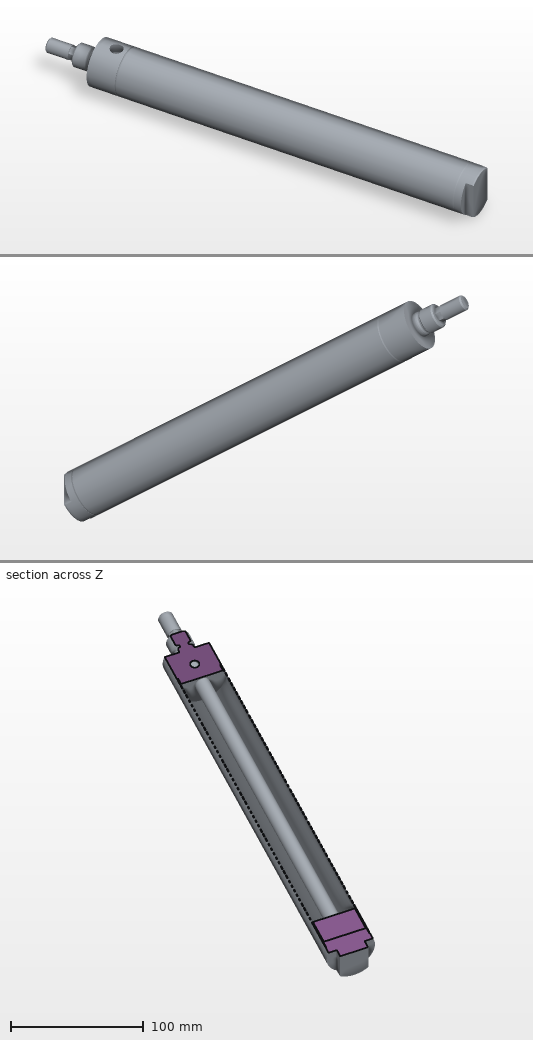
import cadquery as cq
import math

TOTAL_LENGTH = 366.7
BODY_DIAMETER = 39.5
BODY_RADIUS = BODY_DIAMETER / 2

EDGE_TAPER_LENGTH = 1.0
EDGE_TAPER_DEPTH = 0.5

ROD_DIAMETER = 12.0
ROD_EXTENSION = 24.2
ROD_TIP_CHAMFER = 1.0
HEX_SIDES = 6
HEX_ACROSS_FLATS = 10.3
HEX_LENGTH = 4.8
PISTON_LENGTH = 21.5

NOSE_DIAMETER = 19.5
NOSE_CHAMFER = 1.0
NOSE_LENGTH = 11.5
RELIEF_DEPTH = 1.5
RELIEF_WALL_LENGTH = 1.0
RELIEF_FLOOR_LENGTH = 1.0
COLLAR_TAPER_LENGTH = 1.0
COLLAR_TAPER_DEPTH = 0.5
COLLAR_LENGTH = 3.5
HEAD_LENGTH = 24.0

PORT_DIAMETER = 10.5
PORT_DEPTH = 8.0
PORT_CONE_DEPTH = 2.0
PASSAGE_DIAMETER = 6.5
PORT_FROM_HEAD_FACE = 15.5

TUBE_LENGTH = 288.0
TUBE_BORE = 38.0

TANG_WIDTH = 23.0
TANG_LENGTH = 6.5

HEAD_PLUG_LENGTH = 6.0
CAP_PLUG_LENGTH = 5.5

NOSE_START = ROD_EXTENSION
NOSE_END = NOSE_START + NOSE_LENGTH
COLLAR_START = NOSE_END + 2 * RELIEF_WALL_LENGTH + RELIEF_FLOOR_LENGTH
HEAD_START = COLLAR_START + COLLAR_LENGTH
TUBE_START = HEAD_START + HEAD_LENGTH
HEAD_END = TUBE_START + HEAD_PLUG_LENGTH
CAP_START = TUBE_START + TUBE_LENGTH
CAP_PLUG_START = CAP_START - CAP_PLUG_LENGTH
PISTON_START = CAP_PLUG_START - PISTON_LENGTH


def cylinder(start, end, diameter):
    """Solid cylinder along X from X = start to X = end."""
    return cq.Workplane("YZ", origin=(start, 0, 0)).circle(diameter / 2).extrude(end - start)


def revolve_about_x(outline):
    """Solid of revolution about X from the (X, radius) points of its outline."""
    return cq.Workplane("XY").polyline(outline).close().revolve(360, (0, 0, 0), (1, 0, 0))


def make_rod():
    """Rod with a chamfered tip, a piston and a hexagonal neck with flats facing -Y and +Y."""
    hex_start = ROD_EXTENSION - HEX_LENGTH
    hex_corner_diameter = HEX_ACROSS_FLATS / math.cos(math.pi / HEX_SIDES)
    tip = cylinder(0, hex_start, ROD_DIAMETER).faces("<X").chamfer(ROD_TIP_CHAMFER)
    neck = (
        cq.Workplane("YZ", origin=(hex_start, 0, 0))
        .transformed(rotate=(0, 0, 90))
        .polygon(HEX_SIDES, hex_corner_diameter)
        .extrude(HEX_LENGTH)
    )
    shaft = cylinder(ROD_EXTENSION, PISTON_START, ROD_DIAMETER)
    piston = cylinder(PISTON_START, CAP_PLUG_START, TUBE_BORE)
    return tip.union(neck).union(shaft).union(piston)


def make_head_blank():
    """Turned outer shape of the head, from the nose to the plug inside the tube."""
    nose_radius = NOSE_DIAMETER / 2
    relief_radius = nose_radius - RELIEF_DEPTH
    relief_floor_start = NOSE_END + RELIEF_WALL_LENGTH
    return revolve_about_x([
        (NOSE_START, 0),
        (NOSE_START, nose_radius - NOSE_CHAMFER),
        (NOSE_START + NOSE_CHAMFER, nose_radius),
        (NOSE_END, nose_radius),
        (relief_floor_start, relief_radius),
        (relief_floor_start + RELIEF_FLOOR_LENGTH, relief_radius),
        (COLLAR_START, nose_radius - COLLAR_TAPER_DEPTH),
        (COLLAR_START + COLLAR_TAPER_LENGTH, nose_radius),
        (HEAD_START, nose_radius),
        (HEAD_START, BODY_RADIUS),
        (TUBE_START, BODY_RADIUS),
        (TUBE_START, TUBE_BORE / 2),
        (HEAD_END, TUBE_BORE / 2),
        (HEAD_END, 0),
    ])


def make_head():
    """Head with its rod bore and the stepped air port that opens upward."""
    port_x = HEAD_START + PORT_FROM_HEAD_FACE
    port_plane = cq.Workplane("XY", origin=(port_x, 0, BODY_RADIUS))
    port = port_plane.circle(PORT_DIAMETER / 2).extrude(-PORT_DEPTH)
    passage = port_plane.circle(PASSAGE_DIAMETER / 2).extrude(-BODY_RADIUS)
    cone_top = cq.Vector(port_x, 0, BODY_RADIUS - PORT_DEPTH)
    down = cq.Vector(0, 0, -1)
    cone = cq.Solid.makeCone(PORT_DIAMETER / 2, PASSAGE_DIAMETER / 2, PORT_CONE_DEPTH, cone_top, down)
    rod_bore = cylinder(NOSE_START, HEAD_END, ROD_DIAMETER)
    return make_head_blank().cut(rod_bore).cut(port).cut(cq.Workplane(cone)).cut(passage)


def make_tube():
    """Tube with a straight bore and a shallow taper at both outer ends."""
    tapered_radius = BODY_RADIUS - EDGE_TAPER_DEPTH
    return revolve_about_x([
        (TUBE_START, TUBE_BORE / 2),
        (TUBE_START, tapered_radius),
        (TUBE_START + EDGE_TAPER_LENGTH, BODY_RADIUS),
        (CAP_START - EDGE_TAPER_LENGTH, BODY_RADIUS),
        (CAP_START, tapered_radius),
        (CAP_START, TUBE_BORE / 2),
    ])


def make_cap():
    """Rear cap with a plug for the tube and two side flats that leave a tang."""
    cap = revolve_about_x([
        (CAP_PLUG_START, 0),
        (CAP_PLUG_START, TUBE_BORE / 2),
        (CAP_START, TUBE_BORE / 2),
        (CAP_START, BODY_RADIUS),
        (TOTAL_LENGTH - EDGE_TAPER_LENGTH, BODY_RADIUS),
        (TOTAL_LENGTH, BODY_RADIUS - EDGE_TAPER_DEPTH),
        (TOTAL_LENGTH, 0),
    ])
    side_depth = (BODY_DIAMETER - TANG_WIDTH) / 2
    for side in (-1, 1):
        side_y = side * (TANG_WIDTH + side_depth) / 2
        center = (TOTAL_LENGTH - TANG_LENGTH / 2, side_y, 0)
        cap = cap.cut(
            cq.Workplane("XY", origin=center).box(TANG_LENGTH, side_depth, BODY_DIAMETER)
        )
    return cap


rod = make_rod()
head = make_head()
tube = make_tube()
cap = make_cap()

result = cq.Compound.makeCompound([rod.val(), head.val(), tube.val(), cap.val()])